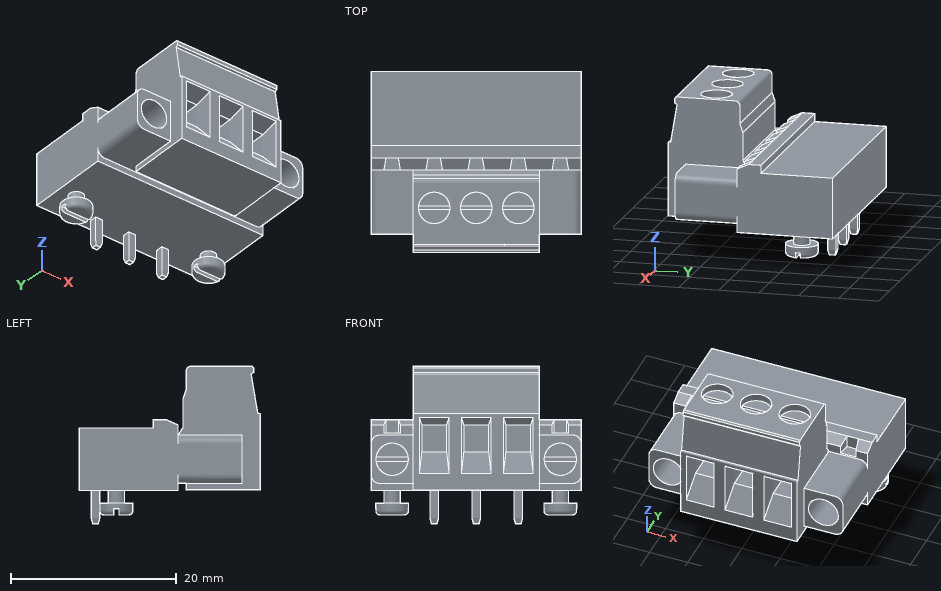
import cadquery as cq


PITCH = 5.08
POLE_COUNT = 3
FLANGE_POSITIONS = 2

PLUG_WIDTH = POLE_COUNT * PITCH
HEADER_WIDTH = (POLE_COUNT + FLANGE_POSITIONS) * PITCH
POLE_XS = [(i - (POLE_COUNT - 1) / 2) * PITCH for i in range(POLE_COUNT)]
FLANGE_X = (POLE_COUNT + 1) / 2 * PITCH
FLANGE_XS = [-FLANGE_X, FLANGE_X]

TOTAL_DEPTH = 21.9
PLUG_TOP = 15.05

HEADER_FRONT = -11.95
HEADER_HEIGHT = 7.6
LIP_REAR = -8.95
LIP_TOP = 8.6
LIP_TOP_FRONT = -10.5
LIP_FRONT_HEIGHT = 7.95

KEYWAY_FLOOR = 6.95
KEYWAY_MOUTH_WIDTH = 2.0
KEYWAY_REAR_WIDTH = 1.5

PIN_SIZE = 1.05
PIN_Y = -1.98
PIN_LENGTH = 4.0
PIN_TIP_SIZE = 0.7
PIN_TIP_LENGTH = 0.65

FIXING_Y = -4.5
FIXING_SHANK_DIAMETER = 2.0
FIXING_SHANK_LENGTH = 1.5
FIXING_HEAD_DIAMETER = 4.0
FIXING_HEAD_HEIGHT = 1.44
FIXING_HEAD_FILLET = 0.5
FIXING_SLOT_WIDTH = 0.6
FIXING_SLOT_DEPTH = 0.75

PLUG_FRONT = -TOTAL_DEPTH
PLUG_BOTTOM = 0.1
PLUG_FOOT_REAR = -12.93
PLUG_WAIST_REAR = -12.55
PLUG_WAIST_BOTTOM = 7.65
PLUG_WAIST_TOP = 11.15
PLUG_HEAD_BOTTOM = 12.25
PLUG_REAR_FILLET = 0.6
PLUG_SHOULDER_HEIGHT = 9.35
PLUG_SHOULDER_FILLET = 0.15
PLUG_SHOULDER_REAR = -21.6
PLUG_NECK_FRONT = -20.8
PLUG_NECK_TOP = 14.1
PLUG_RIM_FRONT = -21.1
PLUG_RIM_BOTTOM = 14.3
PLUG_RIM_CHAMFER = 0.2

FLANGE_FRONT = -19.7
FLANGE_CENTER_Z = 3.8
FLANGE_HEIGHT = 5.85
FLANGE_FILLET = 1.05
FLANGE_BORE_DIAMETER = 3.9
FLANGE_BORE_DEPTH = 6.0
FLANGE_SLOT_WIDTH = 0.5

CLAMP_Y = -16.5
CLAMP_BORE_DIAMETER = 3.8
CLAMP_BORE_DEPTH = 1.0
CLAMP_SLOT_WIDTH = 0.4

SCREW_SLOT_DEPTH = 0.5

ENTRY_WIDTH = 3.6
ENTRY_BOTTOM = 2.1
ENTRY_TOP = 8.85
POCKET_WIDTH = 3.0
POCKET_BOTTOM = 4.7
POCKET_TOP = 7.95
FUNNEL_DEPTH = 2.2
POCKET_DEPTH = 3.0


def box_between(x_range, y_range, z_range):
    """Axis-aligned box given by its (low, high) limits along each axis."""
    (x0, x1), (y0, y1), (z0, z1) = x_range, y_range, z_range
    return cq.Workplane("XY").box(x1 - x0, y1 - y0, z1 - z0, centered=False).translate((x0, y0, z0))


def extrude_profile(points, width):
    """Extrude a (Y, Z) outline along X, centred on X = 0."""
    return cq.Workplane("YZ").polyline(points).close().extrude(width / 2, both=True)


def header_housing():
    profile = [
        (0, 0),
        (0, HEADER_HEIGHT),
        (LIP_REAR, HEADER_HEIGHT),
        (LIP_REAR, LIP_TOP),
        (LIP_TOP_FRONT, LIP_TOP),
        (HEADER_FRONT, LIP_FRONT_HEIGHT),
        (HEADER_FRONT, 0),
    ]
    return extrude_profile(profile, HEADER_WIDTH)


def keyway(x):
    """Vertical groove in the front lip that widens towards the plug."""
    outline = [
        (x - KEYWAY_MOUTH_WIDTH / 2, HEADER_FRONT),
        (x - KEYWAY_REAR_WIDTH / 2, LIP_TOP_FRONT),
        (x + KEYWAY_REAR_WIDTH / 2, LIP_TOP_FRONT),
        (x + KEYWAY_MOUTH_WIDTH / 2, HEADER_FRONT),
    ]
    return (
        cq.Workplane("XY", origin=(0, 0, KEYWAY_FLOOR))
        .polyline(outline)
        .close()
        .extrude(LIP_TOP - KEYWAY_FLOOR)
    )


def solder_pin(x):
    shank_length = PIN_LENGTH - PIN_TIP_LENGTH
    return (
        cq.Workplane("XY", origin=(x, PIN_Y, 0))
        .rect(PIN_SIZE, PIN_SIZE)
        .extrude(-shank_length)
        .faces("<Z")
        .workplane()
        .rect(PIN_SIZE, PIN_SIZE)
        .workplane(offset=PIN_TIP_LENGTH)
        .rect(PIN_TIP_SIZE, PIN_TIP_SIZE)
        .loft(ruled=True)
    )


def fixing_screw(x):
    """Slotted cheese-head screw hanging below the header."""
    head_bottom = -FIXING_SHANK_LENGTH - FIXING_HEAD_HEIGHT
    head_radius = FIXING_HEAD_DIAMETER / 2
    head = (
        cq.Workplane("XY", origin=(x, FIXING_Y, head_bottom))
        .circle(head_radius)
        .extrude(FIXING_HEAD_HEIGHT)
        .faces("<Z")
        .edges()
        .fillet(FIXING_HEAD_FILLET)
    )
    shank = (
        cq.Workplane("XY", origin=(x, FIXING_Y, 0))
        .circle(FIXING_SHANK_DIAMETER / 2)
        .extrude(-FIXING_SHANK_LENGTH)
    )
    slot = box_between(
        (x - head_radius, x + head_radius),
        (FIXING_Y - FIXING_SLOT_WIDTH / 2, FIXING_Y + FIXING_SLOT_WIDTH / 2),
        (head_bottom, head_bottom + FIXING_SLOT_DEPTH),
    )
    return head.cut(slot).union(shank)


def plug_housing():
    flange_bottom = FLANGE_CENTER_Z - FLANGE_HEIGHT / 2
    flange_top = FLANGE_CENTER_Z + FLANGE_HEIGHT / 2
    profile = [
        (PLUG_FRONT, PLUG_BOTTOM),
        (PLUG_FRONT, PLUG_SHOULDER_HEIGHT),
        (PLUG_SHOULDER_REAR, PLUG_SHOULDER_HEIGHT),
        (PLUG_NECK_FRONT, PLUG_NECK_TOP),
        (PLUG_RIM_FRONT, PLUG_RIM_BOTTOM),
        (PLUG_RIM_FRONT, PLUG_TOP - PLUG_RIM_CHAMFER),
        (PLUG_RIM_FRONT + PLUG_RIM_CHAMFER, PLUG_TOP),
        (PLUG_FOOT_REAR, PLUG_TOP),
        (PLUG_FOOT_REAR, PLUG_HEAD_BOTTOM),
        (PLUG_WAIST_REAR, PLUG_WAIST_TOP),
        (PLUG_WAIST_REAR, PLUG_WAIST_BOTTOM),
        (HEADER_FRONT, flange_top),
        (HEADER_FRONT, flange_bottom),
        (PLUG_FOOT_REAR, flange_bottom),
        (PLUG_FOOT_REAR, PLUG_BOTTOM),
    ]
    housing = extrude_profile(profile, PLUG_WIDTH)
    housing = housing.faces(">Z").edges(">Y").fillet(PLUG_REAR_FILLET)
    return housing.faces("<Y").edges(">Z").fillet(PLUG_SHOULDER_FILLET)


def flange_bar():
    """Bar across the full width whose rounded ends form the two screw flanges."""
    return (
        box_between(
            (-HEADER_WIDTH / 2, HEADER_WIDTH / 2),
            (FLANGE_FRONT, HEADER_FRONT),
            (FLANGE_CENTER_Z - FLANGE_HEIGHT / 2, FLANGE_CENTER_Z + FLANGE_HEIGHT / 2),
        )
        .edges("|Y")
        .fillet(FLANGE_FILLET)
    )


def slotted_recess(plane, diameter, depth, slot_width):
    """Round hole sunk into a plane, with a screwdriver slot across its floor."""
    bore = plane.circle(diameter / 2).extrude(-depth)
    slot_blank = plane.rect(diameter, slot_width).extrude(-depth - SCREW_SLOT_DEPTH)
    slot_limit = plane.circle(diameter / 2).extrude(-depth - SCREW_SLOT_DEPTH)
    return bore.union(slot_blank.intersect(slot_limit))


def flange_recess(x):
    plane = cq.Workplane("XZ", origin=(x, FLANGE_FRONT, FLANGE_CENTER_Z))
    return slotted_recess(plane, FLANGE_BORE_DIAMETER, FLANGE_BORE_DEPTH, FLANGE_SLOT_WIDTH)


def clamp_recess(x):
    plane = cq.Workplane("XY", origin=(x, CLAMP_Y, PLUG_TOP))
    return slotted_recess(plane, CLAMP_BORE_DIAMETER, CLAMP_BORE_DEPTH, CLAMP_SLOT_WIDTH)


def wire_entry(x):
    """Funnel narrowing from the front face into a straight rectangular pocket."""
    entry_center = (ENTRY_BOTTOM + ENTRY_TOP) / 2
    pocket_center = (POCKET_BOTTOM + POCKET_TOP) / 2
    funnel = (
        cq.Workplane("XZ", origin=(x, PLUG_FRONT, entry_center))
        .rect(ENTRY_WIDTH, ENTRY_TOP - ENTRY_BOTTOM)
        .workplane(offset=-FUNNEL_DEPTH)
        .center(0, pocket_center - entry_center)
        .rect(POCKET_WIDTH, POCKET_TOP - POCKET_BOTTOM)
        .loft(ruled=True)
    )
    pocket_front = PLUG_FRONT + FUNNEL_DEPTH
    pocket = box_between(
        (x - POCKET_WIDTH / 2, x + POCKET_WIDTH / 2),
        (pocket_front, pocket_front + POCKET_DEPTH),
        (POCKET_BOTTOM, POCKET_TOP),
    )
    return funnel.union(pocket)


header = header_housing()
for key_x in FLANGE_XS + POLE_XS:
    header = header.cut(keyway(key_x))

result = header.union(flange_bar()).union(plug_housing())

for pole_x in POLE_XS:
    result = result.union(solder_pin(pole_x))
    result = result.cut(wire_entry(pole_x))
    result = result.cut(clamp_recess(pole_x))

for flange_x in FLANGE_XS:
    result = result.union(fixing_screw(flange_x))
    result = result.cut(flange_recess(flange_x))